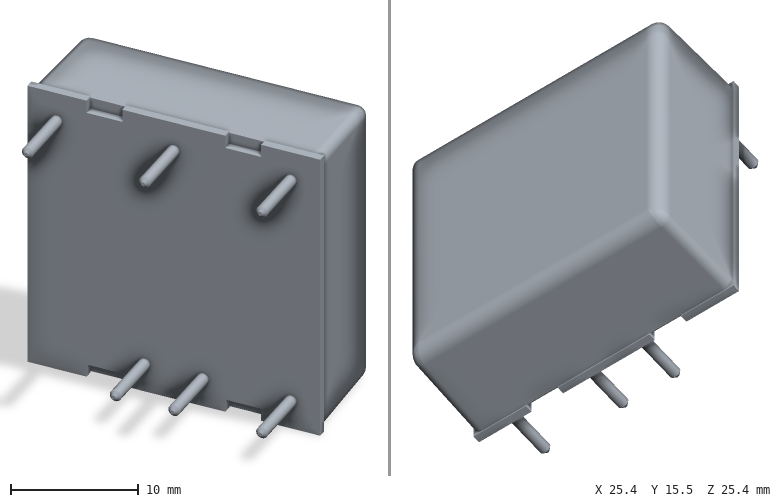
import cadquery as cq

flange_side = 25.4
flange_thickness = 0.7
housing_depth = 9.9
cover_inset = 0.13
cover_taper = 1.2
corner_radius = 0.81
diagonal_tolerance = 0.003
rim_radius = 1.3

notch_width = 3.1
notch_depth = 1.12
notch_offset = 6.02

pin_pitch = 2.55
pin_diameter = 1.0
pin_length = 5.6
tip_diameter = 0.35
tip_length = 0.33
pin_row_height = 4 * pin_pitch
upper_pin_columns = (-4, 0, 4)
lower_pin_columns = (-1, 1, 4)


def lies_on_diagonal(edge):
    """True for the edges at the four corners, which are centred where |X| equals |Z|."""
    center = edge.Center()
    return abs(abs(center.x) - abs(center.z)) < diagonal_tolerance


def make_cover():
    """Tapered block with rounded corners and a rounded rim around its far face."""
    side = flange_side - 2 * cover_inset
    depth = housing_depth - flange_thickness
    block = (
        cq.Workplane("ZX", origin=(0, flange_thickness, 0))
        .rect(side, side)
        .extrude(depth, taper=cover_taper)
    )
    rimmed = block.faces(">Y").edges().fillet(rim_radius)
    corner_edges = [edge for edge in rimmed.edges().vals() if lies_on_diagonal(edge)]
    return rimmed.newObject(corner_edges).fillet(corner_radius)


def make_flange():
    """Square plate with two notches through each of its upper and lower edges."""
    plate = cq.Workplane("XY").box(
        flange_side, flange_thickness, flange_side, centered=(True, False, True)
    )
    notches = (
        cq.Workplane("XZ")
        .rect(2 * notch_offset, flange_side, forConstruction=True)
        .vertices()
        .rect(notch_width, 2 * notch_depth)
        .extrude(-flange_thickness)
    )
    return plate.cut(notches)


def make_housing():
    return make_flange().union(make_cover())


def make_pin(x, z):
    """Round pin standing on the flange face, with a conical tip ending in a small flat."""
    pin_radius = pin_diameter / 2
    tip_radius = tip_diameter / 2
    shank_length = pin_length - tip_length
    return (
        cq.Workplane("XY")
        .polyline([
            (0, 0),
            (pin_radius, 0),
            (pin_radius, -shank_length),
            (tip_radius, -pin_length),
            (0, -pin_length),
        ])
        .close()
        .revolve(360, (0, 0, 0), (0, 1, 0))
        .translate((x, 0, z))
    )


housing = make_housing()

pins = []
for columns, row_height in ((upper_pin_columns, pin_row_height), (lower_pin_columns, -pin_row_height)):
    for column in columns:
        pins.append(make_pin(column * pin_pitch, row_height))

result = cq.Compound.makeCompound([housing.val(), *[pin.val() for pin in pins]])